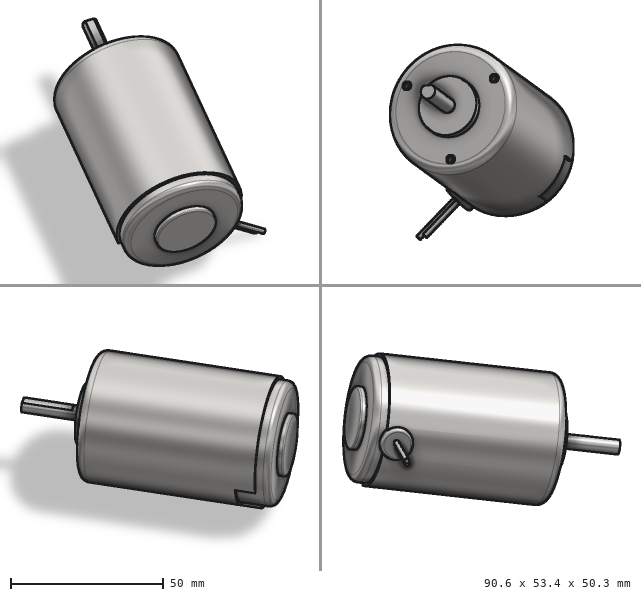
import cadquery as cq
import math


can_radius = 22.0
can_length = 54.0
can_round = 3.0

pilot_radius = 10.0
pilot_height = 3.0
shaft_radius = 2.5
shaft_length = 20.0
flat_length = 17.0
flat_height = 2.0

band_end = 60.8
cap_end = 65.6
cap_radius = 21.0
cap_round = 2.2

housing_radius = 10.5
housing_height = 2.0
housing_round = 0.5

relief_top = -5.0
relief_bottom = -18.0

hole_count = 3
hole_circle_radius = 17.5
hole_diameter = 2.1
hole_depth = 4.0
drill_point_angle = 118.0
countersink_diameter = 3.0
first_hole_angle = -90.0

outlet_angle = 43.0
outlet_x = 57.0
grommet_radius = 5.5
grommet_top = 23.5
grommet_round = 1.0
grommet_root = 18.0

wire_radius = 0.89
wire_offset_x = 0.43
wire_offset_side = 0.78
long_wire_reach = 41.44
short_wire_reach = 39.45


def disc(radius, start, end):
    """Cylinder on the motor axis between two X positions."""
    return cq.Workplane("YZ", origin=(start, 0, 0)).circle(radius).extrude(end - start)


def make_body():
    can = disc(can_radius, 0, can_length).faces("<X").edges().fillet(can_round)
    band = disc(can_radius, can_length, band_end)
    cap = disc(cap_radius, can_length, cap_end).faces(">X").edges().fillet(cap_round)
    housing = disc(housing_radius, can_length, cap_end + housing_height)
    housing = housing.faces(">X").edges().fillet(housing_round)
    pilot = disc(pilot_radius, -pilot_height, 0)
    return can.union(band.cut(make_relief())).union(cap).union(housing).union(pilot)


def make_relief():
    """Part of the ring between the cap and can radii, bounded by two level planes on -Y."""
    ring = disc(can_radius, can_length, band_end).cut(disc(cap_radius, can_length, band_end))
    window = cq.Workplane("XY", origin=(can_length, -can_radius, relief_bottom)).box(
        band_end - can_length, can_radius, relief_top - relief_bottom, centered=False
    )
    return ring.intersect(window)


def make_shaft():
    tip = -pilot_height - shaft_length
    shaft = disc(shaft_radius, tip, 0)
    above_flat = cq.Workplane("XY", origin=(tip, -shaft_radius, flat_height)).box(
        flat_length, 2 * shaft_radius, shaft_radius, centered=False
    )
    return shaft.cut(above_flat)


def make_mounting_holes():
    """Drilled blind holes with 90 degree countersinks, spaced evenly round the mounting face."""
    hole_radius = hole_diameter / 2
    mouth_radius = countersink_diameter / 2
    countersink_depth = mouth_radius - hole_radius
    drill_point_length = hole_radius / math.tan(math.radians(drill_point_angle / 2))
    hole = (
        cq.Workplane("XY")
        .lineTo(0, mouth_radius)
        .lineTo(countersink_depth, hole_radius)
        .lineTo(hole_depth, hole_radius)
        .lineTo(hole_depth + drill_point_length, 0)
        .close()
        .revolve(360, (0, 0, 0), (1, 0, 0))
    )
    holes = cq.Workplane("XY")
    for index in range(hole_count):
        angle = math.radians(first_hole_angle + index * 360 / hole_count)
        y = hole_circle_radius * math.cos(angle)
        z = hole_circle_radius * math.sin(angle)
        holes = holes.add(hole.translate((0, y, z)))
    return holes.combine()


def make_cable_outlet():
    """Grommet and wires, built along +Y and then swung down about the motor axis."""

    def stem(radius, x, side, reach):
        base = cq.Workplane("XZ", origin=(x, grommet_root, side))
        return base.circle(radius).extrude(grommet_root - reach)

    grommet = stem(grommet_radius, outlet_x, 0, grommet_top)
    grommet = grommet.faces(">Y").edges().fillet(grommet_round)
    long_wire = stem(wire_radius, outlet_x + wire_offset_x, wire_offset_side, long_wire_reach)
    short_wire = stem(wire_radius, outlet_x - wire_offset_x, -wire_offset_side, short_wire_reach)
    outlet = grommet.union(long_wire).union(short_wire)
    return outlet.rotate((0, 0, 0), (1, 0, 0), -outlet_angle)


result = make_body().union(make_shaft()).cut(make_mounting_holes()).union(make_cable_outlet())